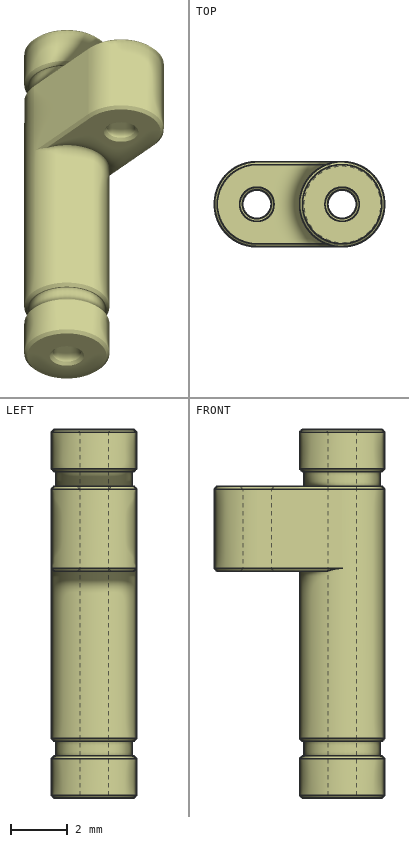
import cadquery as cq

total_height = 13.0
shaft_diameter = 3.0
edge_chamfer = 0.1

collar_height = 1.5
neck_height = 0.51
neck_diameter = 2.7

lug_offset = shaft_diameter
lug_height = shaft_diameter
lug_top = total_height - collar_height - neck_height

hole_diameter = 1.0
hole_chamfer = 0.1


def cylinder(diameter, bottom, height):
    return cq.Workplane("XY").workplane(offset=bottom).circle(diameter / 2).extrude(height)


def collar(bottom):
    return cylinder(shaft_diameter, bottom, collar_height).edges().chamfer(edge_chamfer)


def chamfered_hole(x, bottom, height):
    mouth_diameter = hole_diameter + 2 * hole_chamfer
    hole = cylinder(hole_diameter, bottom, height)
    for mouth_z, direction in ((bottom, 1), (bottom + height, -1)):
        mouth = (
            cq.Workplane("XY")
            .workplane(offset=mouth_z)
            .circle(mouth_diameter / 2)
            .workplane(offset=direction * hole_chamfer)
            .circle(hole_diameter / 2)
            .loft(ruled=True)
        )
        hole = hole.union(mouth)
    return hole.translate((x, 0, 0))


body_bottom = collar_height + neck_height
body = cylinder(shaft_diameter, body_bottom, lug_top - body_bottom).edges().chamfer(edge_chamfer)

lug_bottom = lug_top - lug_height
lug = (
    cq.Workplane("XY")
    .workplane(offset=lug_bottom)
    .center(-lug_offset / 2, 0)
    .slot2D(lug_offset + shaft_diameter, shaft_diameter)
    .extrude(lug_height)
    .faces("<Z or >Z")
    .edges()
    .chamfer(edge_chamfer)
)

core = cylinder(neck_diameter, 0, total_height)
result = core.union(body).union(lug)
for collar_bottom in (0, total_height - collar_height):
    result = result.union(collar(collar_bottom))

result = result.cut(chamfered_hole(0, 0, total_height))
result = result.cut(chamfered_hole(-lug_offset, lug_bottom, lug_height))